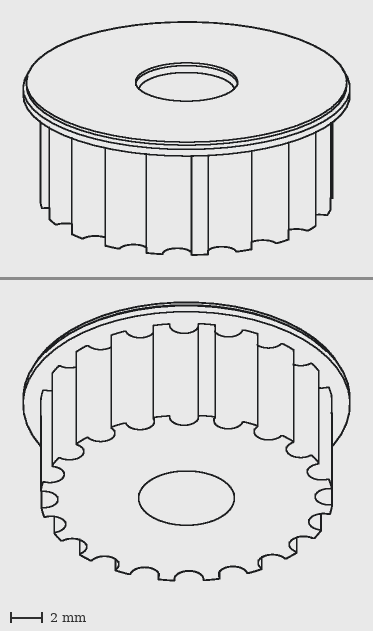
import cadquery as cq
import math

total_height = 8.0
flange_diameter = 20.5
flange_thickness = 1.0

tooth_count = 20
tooth_tip_diameter = 18.33
groove_radius = 0.9
groove_depth = 1.1
tooth_edge_fillet = 0.08

rim_step = 0.2
rim_bevel_height = 0.2
underside_inset = 0.8
underside_height = 0.15

bore_diameter = 6.0
bore_mouth_diameter = 6.4
bore_mouth_depth = 0.18
bore_taper_height = 0.39

flange_bottom = total_height - flange_thickness


def toothed_body():
    """Cylinder with round-bottomed grooves, one of them centred on each axis."""
    tip_radius = tooth_tip_diameter / 2
    groove_centre = tip_radius - groove_depth + groove_radius
    grooves = (
        cq.Workplane("XY")
        .polarArray(groove_centre, 0, 360, tooth_count)
        .circle(groove_radius)
        .extrude(flange_bottom)
    )
    body = cq.Workplane("XY").circle(tip_radius).extrude(flange_bottom).cut(grooves)

    def is_tooth_corner(edge):
        middle = edge.Center()
        return math.hypot(middle.x, middle.y) > groove_centre

    corners = [edge for edge in body.edges("|Z").vals() if is_tooth_corner(edge)]
    return body.newObject(corners).fillet(tooth_edge_fillet)


def flange():
    """Disc with a stepped, bevelled top rim and a slightly coned underside."""
    radius = flange_diameter / 2
    step_bottom = total_height - rim_step
    return (
        cq.Workplane("XZ")
        .moveTo(0, flange_bottom)
        .lineTo(radius - underside_inset, flange_bottom)
        .lineTo(radius, flange_bottom + underside_height)
        .lineTo(radius, step_bottom - rim_bevel_height)
        .lineTo(radius - rim_step, step_bottom)
        .lineTo(radius - rim_step, total_height)
        .lineTo(0, total_height)
        .close()
        .revolve(360, (0, 0, 0), (0, 1, 0))
    )


def bore():
    """Through bore with a shallow recess and taper at its top mouth."""
    mouth_radius = bore_mouth_diameter / 2
    bore_radius = bore_diameter / 2
    mouth_bottom = total_height - bore_mouth_depth
    return (
        cq.Workplane("XZ")
        .lineTo(bore_radius, 0)
        .lineTo(bore_radius, mouth_bottom - bore_taper_height)
        .lineTo(mouth_radius, mouth_bottom)
        .lineTo(mouth_radius, total_height)
        .lineTo(0, total_height)
        .close()
        .revolve(360, (0, 0, 0), (0, 1, 0))
    )


result = toothed_body().union(flange()).cut(bore())